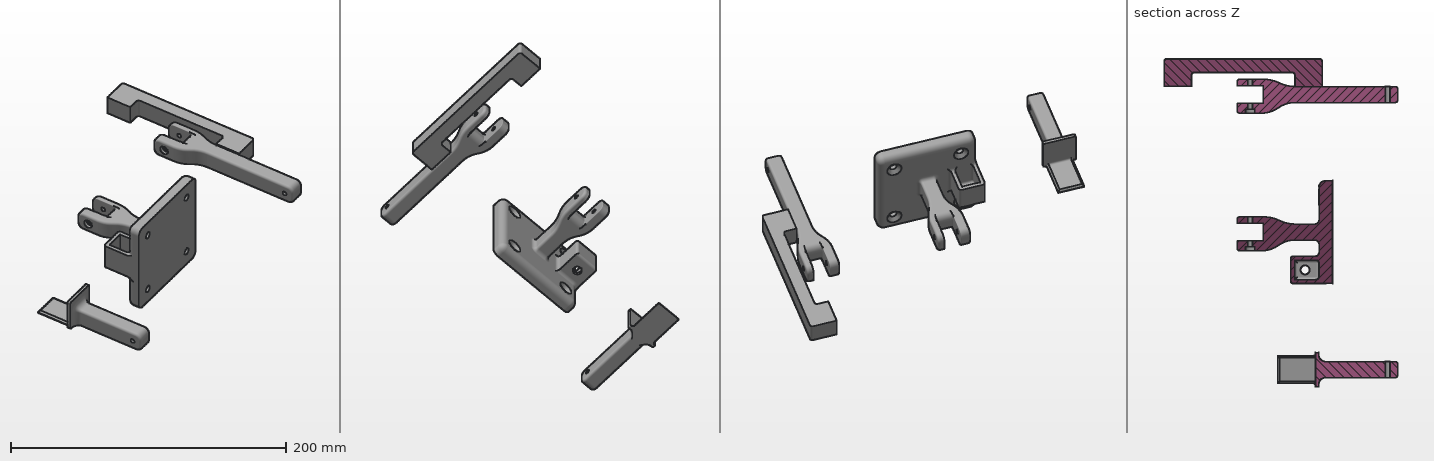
import cadquery as cq
TOLERANCE = 0.01

SHAFT_WIDTH = 12.0
SHAFT_HEIGHT = 15.0
EDGE_RADIUS = 2.0
END_RADIUS = 5.0
HANDLE_END_X = 57.5
HANDLE_HOLE_X = HANDLE_END_X - SHAFT_HEIGHT / 2
HANDLE_HOLE_DIAMETER = 3.3

PIVOT_X = -50.0
FORK_REACH = 9.5
FORK_TIP_X = PIVOT_X - FORK_REACH
SLOT_FLOOR_X = PIVOT_X + FORK_REACH
SLOT_CLEARANCE = 0.5
SLOT_WIDTH = SHAFT_WIDTH + SLOT_CLEARANCE
SLOT_EDGE_RADIUS = 0.5
SLOT_CORNER_RADIUS = 0.5
THIN_TINE = 5.0
THICK_TINE = 7.5
THIN_SIDE_Y = SLOT_WIDTH / 2 + THIN_TINE
THICK_SIDE_Y = SLOT_WIDTH / 2 + THICK_TINE
THIN_TAPER_START_X = -40.0
THICK_TAPER_START_X = -41.5
TAPER_END_X = -17.5
PIVOT_HOLE_DIAMETER = 3.3
PIVOT_HEAD_DIAMETER = 6.6
PIVOT_HEAD_DEPTH = 3.0

PLATE_SIZE = 75.0
PLATE_THICKNESS = 10.0
PLATE_RADIUS = 5.0
SCREW_SPACING = 51.0
SCREW_HOLE_DIAMETER = 5.11
SCREW_HEAD_DIAMETER = 11.0
COUNTERSINK_ANGLE = 90.0
ARM_ROOT_RADIUS = 3.0

KEEPER_LENGTH = 20.5
KEEPER_WIDTH = 20.0
KEEPER_HEIGHT = 20.0
KEEPER_WALL = 3.0
KEEPER_EDGE_RADIUS = 2.0
KEEPER_ROOT_RADIUS = 2.5
POCKET_EDGE_RADIUS = 2.0
DRAIN_DIAMETER = 6.5
DRAIN_X = -10.0
KEEPER_Y = (KEEPER_WIDTH - PLATE_SIZE) / 2

LEVER_Y = 100.0
BAR_LENGTH = 115.0
BAR_DEPTH = 20.0
BAR_START_X = -112.5
BAR_FOOT = 20.0
BAR_RECESS = 10.0
BAR_RADIUS = 2.0

BLADE_Y = -100.0
FLANGE_SIZE = 25.0
FLANGE_THICKNESS = 2.5
FLANGE_CORNER_RADIUS = 1.0
BLADE_END_X = -30.0
BLADE_WIDTH = 20.0
BLADE_THICKNESS = 2.0
BLADE_CHAMFER = 1.5
BLADE_ROOT_RADIUS = 1.5
HANDLE_ROOT_RADIUS = 5.0


def edges_where(body, test):
    """Select the edges of a body whose centre passes the test."""
    return body.newObject([edge for edge in body.edges().vals() if test(edge.Center())])


def cross_hole(x, diameter):
    """Cylinder along Y, long enough to pass through any body."""
    return cq.Workplane("XZ", origin=(x, 0, 0)).circle(diameter / 2).extrude(FLANGE_SIZE, both=True)


def taper(outline, start, end):
    """Continue an outline with two equal arcs that leave and arrive along X."""
    middle = ((start[0] + end[0]) / 2, (start[1] + end[1]) / 2)
    return outline.tangentArcPoint(middle, relative=False).tangentArcPoint(end, relative=False)


def fork_blank(end_x):
    """Shaft that widens to the fork, before rounding and slotting."""
    half_shaft = SHAFT_WIDTH / 2
    thick_start = (THICK_TAPER_START_X, -THICK_SIDE_Y)
    thick_end = (TAPER_END_X, -half_shaft)
    thin_start = (TAPER_END_X, half_shaft)
    thin_end = (THIN_TAPER_START_X, THIN_SIDE_Y)
    outline = cq.Workplane("XY", origin=(0, 0, -SHAFT_HEIGHT / 2))
    outline = outline.moveTo(FORK_TIP_X, -THICK_SIDE_Y).lineTo(*thick_start)
    outline = taper(outline, thick_start, thick_end)
    outline = outline.lineTo(end_x, -half_shaft).lineTo(end_x, half_shaft).lineTo(*thin_start)
    outline = taper(outline, thin_start, thin_end)
    return outline.lineTo(FORK_TIP_X, THIN_SIDE_Y).close().extrude(SHAFT_HEIGHT)


def round_sides(body):
    """Round the outlines of the -Y and +Y sides, leaving the seams across those sides."""
    half_shaft = SHAFT_WIDTH / 2

    def on_side_outline(centre):
        at_end = centre.x < FORK_TIP_X + END_RADIUS or centre.x > HANDLE_END_X - END_RADIUS
        at_top_or_bottom = abs(centre.z) > SHAFT_HEIGHT / 2 - TOLERANCE
        return abs(centre.y) > half_shaft - TOLERANCE and (at_end or at_top_or_bottom)

    return edges_where(body, on_side_outline).fillet(EDGE_RADIUS)


def cut_fork(body):
    """Cut the slot with its rounded floor, ease its edges and drill the counterbored pivot hole."""

    def on_slot_wall(centre):
        return abs(abs(centre.y) - SLOT_WIDTH / 2) < TOLERANCE

    def in_slot_corner(centre):
        within_height = abs(centre.z) < SHAFT_HEIGHT / 2 + TOLERANCE
        return on_slot_wall(centre) and centre.x > SLOT_FLOOR_X - TOLERANCE and within_height

    def on_slot_rim(centre):
        at_top_or_bottom = abs(centre.z) > SHAFT_HEIGHT / 2 - TOLERANCE
        at_tip = centre.x < FORK_TIP_X + END_RADIUS
        return on_slot_wall(centre) and (at_tip or at_top_or_bottom)

    floor = cq.Workplane("XY").box(2 * SHAFT_HEIGHT, SLOT_WIDTH, SHAFT_HEIGHT)
    floor = floor.translate((SLOT_FLOOR_X + SHAFT_HEIGHT, 0, 0))
    floor = floor.edges("<X and |Y").fillet(END_RADIUS)
    slot = cq.Workplane("XY").box(4 * FORK_REACH, SLOT_WIDTH, 2 * SHAFT_HEIGHT)
    slot = slot.translate((PIVOT_X, 0, 0)).cut(floor)
    slot = edges_where(slot, in_slot_corner).fillet(SLOT_CORNER_RADIUS)

    square_end = SLOT_FLOOR_X - SLOT_CORNER_RADIUS
    square_slot = cq.Workplane("XY").box(2 * FORK_REACH, SLOT_WIDTH, SHAFT_HEIGHT)
    body = body.cut(square_slot.translate((square_end - FORK_REACH, 0, 0)))
    body = edges_where(body, on_slot_rim).fillet(SLOT_EDGE_RADIUS)
    body = body.cut(slot)

    body = body.cut(cross_hole(PIVOT_X, PIVOT_HOLE_DIAMETER))
    thick_side = cq.Workplane("XZ", origin=(PIVOT_X, -THICK_SIDE_Y, 0))
    return body.cut(thick_side.circle(PIVOT_HEAD_DIAMETER / 2).extrude(-PIVOT_HEAD_DEPTH))


def make_lever():
    """Handle with a fork at one end."""
    body = fork_blank(HANDLE_END_X).edges("|Y and (<X or >X)").fillet(END_RADIUS)
    body = cut_fork(round_sides(body))
    return body.cut(cross_hole(HANDLE_HOLE_X, HANDLE_HOLE_DIAMETER)).translate((0, LEVER_Y, 0))


def make_bar():
    """Flat bridge with a foot at each end, one foot touching the lever's shaft."""
    foot_y = LEVER_Y + SHAFT_WIDTH / 2
    blank = cq.Workplane("XY").box(BAR_LENGTH, BAR_DEPTH, SHAFT_HEIGHT)
    blank = blank.edges("|Z and >Y").fillet(BAR_RADIUS)
    recess = cq.Workplane("XY").box(BAR_LENGTH - 2 * BAR_FOOT, BAR_RECESS, SHAFT_HEIGHT)
    recess = recess.edges("|Z and >Y").fillet(BAR_RADIUS)
    body = blank.cut(recess.translate((0, (BAR_RECESS - BAR_DEPTH) / 2, 0)))
    return body.translate((BAR_START_X + BAR_LENGTH / 2, foot_y + BAR_DEPTH / 2, 0))


def make_plate():
    """Wall plate with rounded front edges and corners."""
    plate = cq.Workplane("YZ").rect(PLATE_SIZE, PLATE_SIZE).extrude(PLATE_THICKNESS)
    return plate.edges("|X").fillet(PLATE_RADIUS).faces("<X").edges().fillet(PLATE_RADIUS)


def make_bracket():
    """Wall plate carrying the fixed fork and the keeper pocket."""
    body = make_plate()

    keeper_inner_y = KEEPER_Y + KEEPER_WIDTH / 2
    overhang_width = 2 * KEEPER_WIDTH
    block_length = KEEPER_LENGTH + PLATE_THICKNESS
    block_x = (PLATE_THICKNESS - KEEPER_LENGTH) / 2
    keeper = cq.Workplane("XY").box(block_length, overhang_width, KEEPER_HEIGHT)
    keeper = keeper.translate((block_x, keeper_inner_y - overhang_width / 2, 0))
    keeper = keeper.edges("(<X and >Y) or (<X and <Z)").fillet(KEEPER_EDGE_RADIUS)

    def on_keeper_root(centre):
        on_plate = -TOLERANCE < centre.x < PLATE_THICKNESS - TOLERANCE
        inside_side = centre.y > -PLATE_SIZE / 2 - TOLERANCE
        within_width = centre.y < keeper_inner_y + TOLERANCE
        within_height = abs(centre.z) < KEEPER_HEIGHT / 2 + TOLERANCE
        return on_plate and inside_side and within_width and within_height

    body = edges_where(body.union(keeper), on_keeper_root).fillet(KEEPER_ROOT_RADIUS)
    envelope = cq.Workplane("XY").box(block_length, PLATE_SIZE, PLATE_SIZE)
    envelope = envelope.edges("<X and <Y").fillet(KEEPER_EDGE_RADIUS)
    body = body.intersect(envelope.translate((block_x, 0, 0)))

    pocket_length = KEEPER_LENGTH - KEEPER_WALL
    pocket_width = KEEPER_WIDTH - 2 * KEEPER_WALL
    pocket = cq.Workplane("XY").box(pocket_length, pocket_width, 2 * KEEPER_HEIGHT)
    pocket = pocket.edges("<Z or (|Z and >X)").fillet(POCKET_EDGE_RADIUS)
    pocket = pocket.translate((-pocket_length / 2, KEEPER_Y, KEEPER_HEIGHT / 2 + KEEPER_WALL))
    body = body.cut(pocket)
    drain = cq.Workplane("XY", origin=(DRAIN_X, KEEPER_Y, 0)).circle(DRAIN_DIAMETER / 2)
    body = body.cut(drain.extrude(-KEEPER_HEIGHT))

    screws = cq.Workplane("YZ").rect(SCREW_SPACING, SCREW_SPACING, forConstruction=True).vertices()
    holes = screws.circle(SCREW_HOLE_DIAMETER / 2).extrude(PLATE_THICKNESS)
    sink_depth = (SCREW_HEAD_DIAMETER - SCREW_HOLE_DIAMETER) / 2
    sinks = screws.circle(SCREW_HEAD_DIAMETER / 2).extrude(sink_depth, taper=COUNTERSINK_ANGLE / 2)
    body = body.cut(holes).cut(sinks)

    arm = fork_blank(PLATE_RADIUS).edges("|Y and <X").fillet(END_RADIUS)
    body = body.union(cut_fork(round_sides(arm)))

    def on_arm_root(centre):
        near_shaft = max(abs(centre.y), abs(centre.z)) < SHAFT_HEIGHT / 2 + TOLERANCE
        return abs(centre.x) < TOLERANCE and near_shaft

    return edges_where(body, on_arm_root).fillet(ARM_ROOT_RADIUS)


def make_latch():
    """Handle with a square flange and a flat blade in front of it."""
    bottom = -SHAFT_HEIGHT / 2
    handle = cq.Workplane("XY").box(HANDLE_END_X, SHAFT_WIDTH, SHAFT_HEIGHT)
    handle = handle.translate((HANDLE_END_X / 2, 0, 0)).edges("|Y and >X").fillet(END_RADIUS)

    def on_outline(centre):
        return abs(abs(centre.y) - SHAFT_WIDTH / 2) < TOLERANCE and centre.x > TOLERANCE

    handle = edges_where(handle, on_outline).fillet(EDGE_RADIUS)

    blade_height = BLADE_THICKNESS + FLANGE_SIZE / 2
    blade = cq.Workplane("XY").box(-BLADE_END_X, BLADE_WIDTH, blade_height)
    blade = blade.translate((BLADE_END_X / 2, 0, bottom + BLADE_THICKNESS - blade_height / 2))
    blade = blade.faces(">Z").edges("<X or |X").chamfer(BLADE_CHAMFER)

    oversize = cq.Workplane("YZ").rect(4 * FLANGE_SIZE, 4 * FLANGE_SIZE).extrude(-FLANGE_THICKNESS)
    body = oversize.union(handle).union(blade)

    def near_centre(centre):
        return max(abs(centre.y), abs(centre.z)) < FLANGE_SIZE

    def on_handle_root(centre):
        return abs(centre.x) < TOLERANCE and near_centre(centre)

    def on_blade_root(centre):
        return abs(centre.x + FLANGE_THICKNESS) < TOLERANCE and near_centre(centre)

    body = edges_where(body, on_handle_root).fillet(HANDLE_ROOT_RADIUS)
    body = edges_where(body, on_blade_root).fillet(BLADE_ROOT_RADIUS)
    outline = cq.Workplane("YZ", origin=(BLADE_END_X, 0, bottom + FLANGE_SIZE / 2))
    envelope = outline.rect(FLANGE_SIZE, FLANGE_SIZE).extrude(HANDLE_END_X - BLADE_END_X)
    body = body.intersect(envelope.edges("|X").fillet(FLANGE_CORNER_RADIUS))
    return body.cut(cross_hole(HANDLE_HOLE_X, HANDLE_HOLE_DIAMETER)).translate((0, BLADE_Y, 0))


lever = make_lever()
bar = make_bar()
bracket = make_bracket()
latch = make_latch()

result = cq.Compound.makeCompound([lever.val(), bar.val(), bracket.val(), latch.val()])